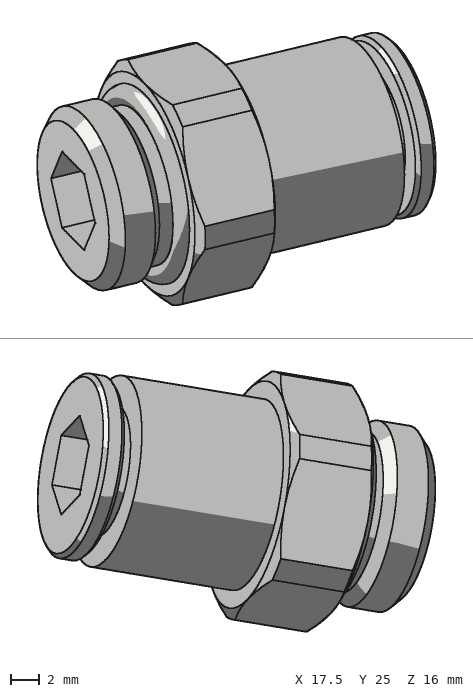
import cadquery as cq
import math

length = 25.0
lead_in_end = 0.85
thread_end = 3.18
relief_start = 3.9
hex_start = 5.52
hex_end = 11.75
body_end = 22.32
collar_start = 23.42

thread_radius = 6.58
relief_radius = 5.72
ring_radius = 7.15
ring_section_radius = 0.8
body_radius = 6.75
sleeve_radius = 4.6
collar_radius = 6.52

collar_chamfer = 0.3

hex_flats = 16.0
hex_corner_diameter = 17.5
hex_chamfer_angle = 30.0
socket_flats = 6.08


def hex_bar(flats, start, end):
    """Hexagonal bar along Y with corners on +X and -X."""
    corner_diameter = flats / math.cos(math.radians(30))
    return (
        cq.Workplane("XZ", origin=(0, start, 0))
        .polygon(6, corner_diameter)
        .extrude(start - end)
    )


def cylinder(radius, start, end):
    """Round bar along Y."""
    return cq.Workplane("XZ", origin=(0, start, 0)).circle(radius).extrude(start - end)


def threaded_end():
    """Thread blank with a tapered lead-in and a relief groove behind it."""
    profile = [
        (0, 0),
        (relief_radius, 0),
        (thread_radius, lead_in_end),
        (thread_radius, thread_end),
        (relief_radius, relief_start),
        (relief_radius, hex_start),
        (0, hex_start),
    ]
    return cq.Workplane("XY").polyline(profile).close().revolve(360, (0, 0), (0, 1))


def sealing_ring():
    """O-ring centred on the face of the hexagon, so only its free half shows."""
    return (
        cq.Workplane("XY")
        .center(ring_radius - ring_section_radius, hex_start)
        .circle(ring_section_radius)
        .revolve(360, (ring_section_radius - ring_radius, 0), (ring_section_radius - ring_radius, 1))
    )


def hex_nut():
    """Hexagon with turned corners and conical chamfers at both ends."""
    flat_radius = hex_flats / 2
    corner_radius = hex_corner_diameter / 2
    chamfer_width = corner_radius - flat_radius
    chamfer_height = chamfer_width * math.tan(math.radians(hex_chamfer_angle))
    profile = [
        (0, hex_start),
        (flat_radius, hex_start),
        (corner_radius, hex_start + chamfer_height),
        (corner_radius, hex_end - chamfer_height),
        (flat_radius, hex_end),
        (0, hex_end),
    ]
    envelope = cq.Workplane("XY").polyline(profile).close().revolve(360, (0, 0), (0, 1))
    return hex_bar(hex_flats, hex_start, hex_end).intersect(envelope)


def release_collar():
    """Disc at the tube end with both rims chamfered."""
    return cylinder(collar_radius, collar_start, length).faces("<Y or >Y").edges().chamfer(collar_chamfer)


result = (
    threaded_end()
    .union(sealing_ring())
    .union(hex_nut())
    .union(cylinder(body_radius, hex_end, body_end))
    .union(cylinder(sleeve_radius, body_end, collar_start))
    .union(release_collar())
    .cut(hex_bar(socket_flats, 0, length))
)